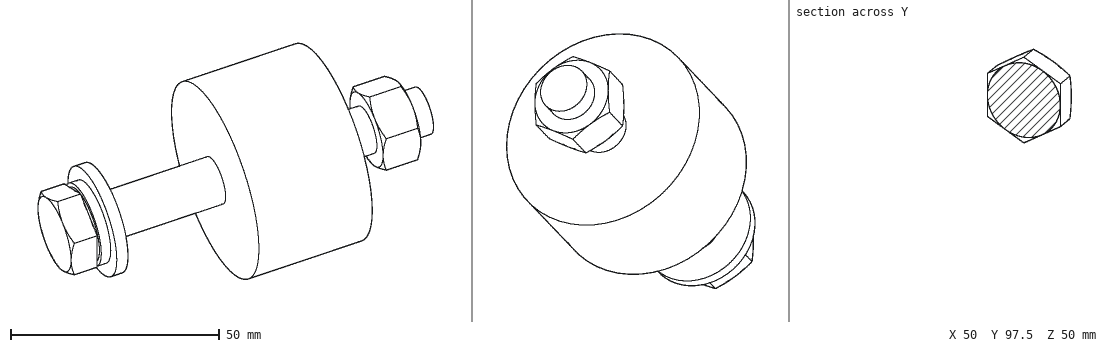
import cadquery as cq
import math


roller_diameter = 50.0
roller_width = 30.0

shank_diameter = 12.0
shank_length = 90.0
head_height = 7.5
collar_height = 0.6
collar_diameter = 19.0
across_flats = 19.0

flat_washer_diameter = 28.0
flat_washer_thickness = 3.0
spring_washer_diameter = 21.1
spring_washer_thickness = 2.5

nut_height = 10.0
nut_to_shank_end = 5.0
nut_to_roller_gap = 10.0

hexagon_sides = 6
chamfer_angle = 30.0

roller_back = roller_width / 2
nut_front = roller_back + nut_to_roller_gap
shank_end = nut_front + nut_height + nut_to_shank_end
head_seat = shank_end - shank_length
spring_washer_back = head_seat + spring_washer_thickness
flat_washer_back = spring_washer_back + flat_washer_thickness
hex_head_height = head_height - collar_height
hex_head_front = head_seat - head_height

across_corners = across_flats / math.cos(math.pi / hexagon_sides)
corner_overhang = (across_corners - across_flats) / 2
chamfer_depth = corner_overhang * math.tan(math.radians(chamfer_angle))


def disc(diameter, front, back):
    """Cylinder along Y from front to back."""
    return cq.Workplane("XZ", origin=(0, back, 0)).circle(diameter / 2).extrude(back - front)


def hexagon(front, height, chamfer_back):
    """Hexagonal prism along Y with corners up and down, its corners turned off conically."""
    back = front + height
    prism = (
        cq.Workplane("XZ", origin=(0, back, 0))
        .transformed(rotate=(0, 0, 90))
        .polygon(hexagon_sides, across_corners)
        .extrude(height)
    )
    flat_radius = across_flats / 2
    corner_radius = across_corners / 2
    profile = cq.Workplane("XY").moveTo(0, front).lineTo(flat_radius, front)
    profile = profile.lineTo(corner_radius, front + chamfer_depth)
    if chamfer_back:
        profile = profile.lineTo(corner_radius, back - chamfer_depth).lineTo(flat_radius, back)
    else:
        profile = profile.lineTo(corner_radius, back)
    envelope = profile.lineTo(0, back).close().revolve(360, (0, 0), (0, 1))
    return prism.intersect(envelope)


def make_bolt():
    shank = disc(shank_diameter, head_seat, shank_end)
    collar = disc(collar_diameter, head_seat - collar_height, head_seat)
    head = hexagon(hex_head_front, hex_head_height, chamfer_back=False)
    return head.union(collar).union(shank)


def make_washers():
    spring_washer = disc(spring_washer_diameter, head_seat, spring_washer_back)
    flat_washer = disc(flat_washer_diameter, spring_washer_back, flat_washer_back)
    return spring_washer.union(flat_washer)


roller = disc(roller_diameter, -roller_back, roller_back)
nut = hexagon(nut_front, nut_height, chamfer_back=True)

result = make_bolt().union(make_washers()).union(roller).union(nut)